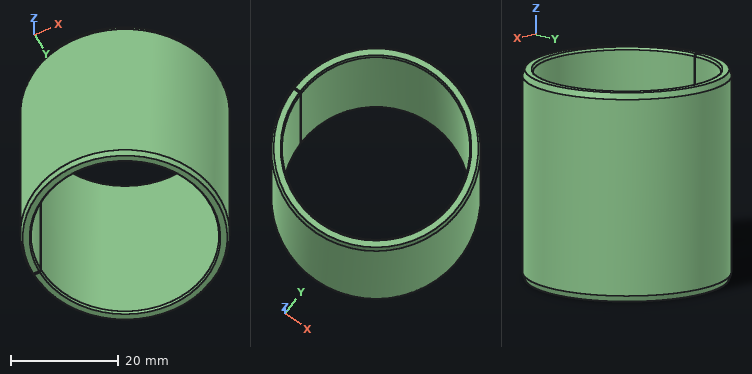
import cadquery as cq
import math

OUTER_DIAMETER = 39.0
BORE_DIAMETER = 35.0
LENGTH = 40.0

OUTER_CHAMFER_HEIGHT = 1.2
OUTER_CHAMFER_ANGLE = 20.0
BORE_CHAMFER_HEIGHT = 0.5
BORE_CHAMFER_ANGLE = 30.0

FULL_TURN = 360.0
GAP_ANGLE = 1.0
JOINT_ANGLE = 180.0

outer_radius = OUTER_DIAMETER / 2
bore_radius = BORE_DIAMETER / 2
outer_chamfer_depth = OUTER_CHAMFER_HEIGHT * math.tan(math.radians(OUTER_CHAMFER_ANGLE))
bore_chamfer_depth = BORE_CHAMFER_HEIGHT * math.tan(math.radians(BORE_CHAMFER_ANGLE))


def wall_section():
    """Cross-section of the wall with both end chamfers, on the +X side of the axis."""
    end_outer_radius = outer_radius - outer_chamfer_depth
    end_bore_radius = bore_radius + bore_chamfer_depth
    return (
        cq.Workplane("XZ")
        .moveTo(end_bore_radius, 0)
        .lineTo(end_outer_radius, 0)
        .lineTo(outer_radius, OUTER_CHAMFER_HEIGHT)
        .lineTo(outer_radius, LENGTH - OUTER_CHAMFER_HEIGHT)
        .lineTo(end_outer_radius, LENGTH)
        .lineTo(end_bore_radius, LENGTH)
        .lineTo(bore_radius, LENGTH - BORE_CHAMFER_HEIGHT)
        .lineTo(bore_radius, BORE_CHAMFER_HEIGHT)
        .close()
    )


def split_sleeve():
    """Wall section swept almost a full turn, leaving the butt joint open."""
    sleeve = wall_section().revolve(FULL_TURN - GAP_ANGLE, (0, 0, 0), (0, 1, 0))
    return sleeve.rotate((0, 0, 0), (0, 0, 1), JOINT_ANGLE)


result = split_sleeve()